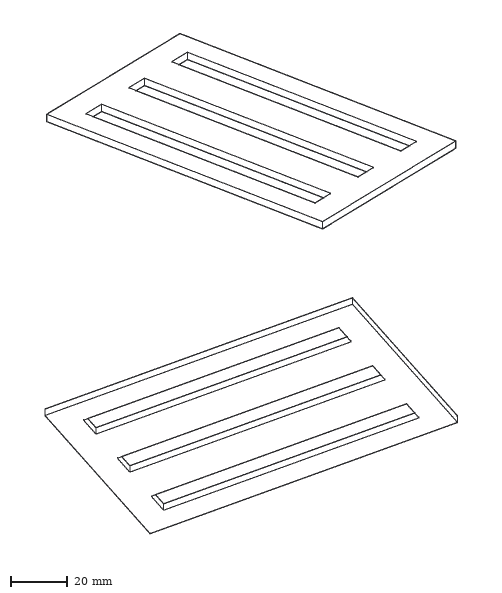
import cadquery as cq

plate_length = 126.0
plate_width = 76.0
plate_thickness = 3.0

slot_count = 3
slot_length = 104.6
slot_width = 9.0
slot_pitch = 24.5

plate = cq.Workplane("XY").box(plate_length, plate_width, plate_thickness)

result = (
    plate.faces(">Z")
    .workplane()
    .rarray(slot_length, slot_pitch, 1, slot_count)
    .rect(slot_length, slot_width)
    .cutThruAll()
)